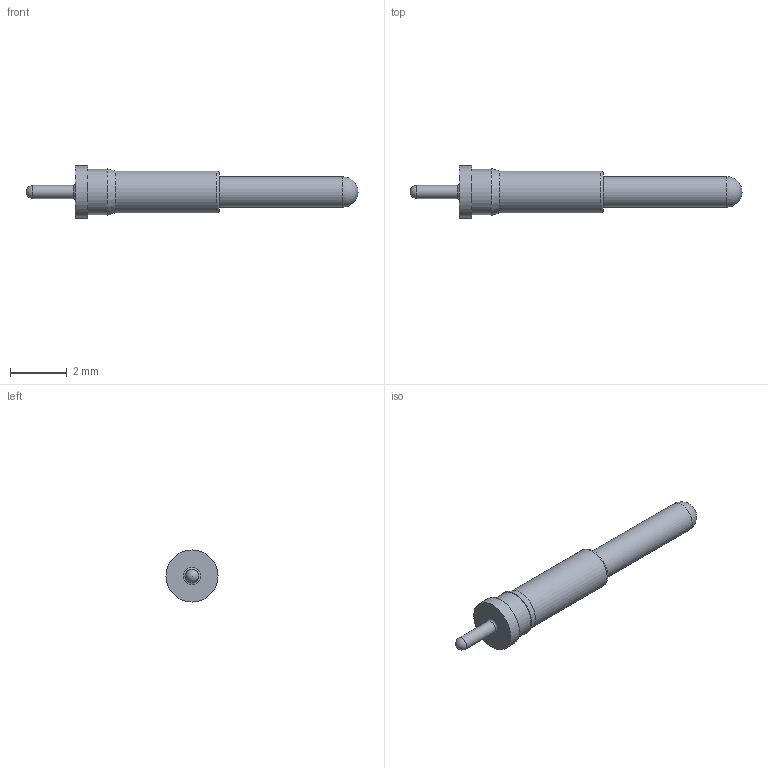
import cadquery as cq
import math


tail_diameter = 0.46
flange_diameter = 1.83
collar_diameter = 1.59
lip_diameter = 1.65
barrel_diameter = 1.47
plunger_diameter = 1.07

overall_length = 11.66
tail_length = 1.73
flange_length = 0.43
collar_length = 0.70
neck_length = 0.28
barrel_length = 3.65

tail_root_fillet = 0.07
barrel_end_round = 0.09

tail_radius = tail_diameter / 2
flange_radius = flange_diameter / 2
collar_radius = collar_diameter / 2
lip_radius = lip_diameter / 2
barrel_radius = barrel_diameter / 2
plunger_radius = plunger_diameter / 2

tail_tip = -overall_length / 2
flange_start = tail_tip + tail_length
flange_end = flange_start + flange_length
collar_end = flange_end + collar_length
barrel_start = collar_end + neck_length
barrel_end = barrel_start + barrel_length
plunger_tip = overall_length / 2

arc_middle = math.sqrt(0.5)


def add_quarter_arc(outline, centre, radius, axial_side, radial_side, end):
    """Continue the outline with a quarter circle bulging to the given side of its centre."""
    offset = radius * arc_middle
    middle = (centre[0] + axial_side * offset, centre[1] + radial_side * offset)
    return outline.threePointArc(middle, end)


def half_outline():
    """Half section of the pin, from the tail tip along the surface to the plunger tip."""
    outline = cq.Workplane("XY").moveTo(tail_tip, 0)

    tail_dome_centre = (tail_tip + tail_radius, 0)
    outline = add_quarter_arc(
        outline, tail_dome_centre, tail_radius, -1, 1, (tail_dome_centre[0], tail_radius)
    )
    root_start = flange_start - tail_root_fillet
    root_radius = tail_radius + tail_root_fillet
    outline = outline.lineTo(root_start, tail_radius)
    outline = add_quarter_arc(
        outline, (root_start, root_radius), tail_root_fillet, 1, -1, (flange_start, root_radius)
    )

    outline = outline.lineTo(flange_start, flange_radius).lineTo(flange_end, flange_radius)
    outline = outline.lineTo(flange_end, collar_radius).lineTo(collar_end, collar_radius)
    outline = outline.lineTo(collar_end, lip_radius).lineTo(barrel_start, barrel_radius)

    round_start = barrel_end - barrel_end_round
    round_radius = barrel_radius - barrel_end_round
    outline = outline.lineTo(round_start, barrel_radius)
    outline = add_quarter_arc(
        outline, (round_start, round_radius), barrel_end_round, 1, 1, (barrel_end, round_radius)
    )

    plunger_dome_start = plunger_tip - plunger_radius
    outline = outline.lineTo(barrel_end, plunger_radius).lineTo(plunger_dome_start, plunger_radius)
    outline = add_quarter_arc(
        outline, (plunger_dome_start, 0), plunger_radius, 1, 1, (plunger_tip, 0)
    )
    return outline.close()


result = half_outline().revolve(360, (0, 0, 0), (1, 0, 0))